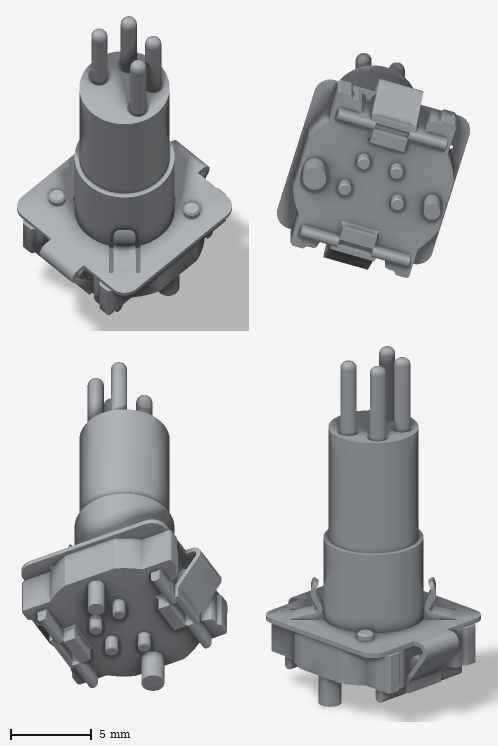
import cadquery as cq
import math


plate_side = 10.0
plate_thickness = 0.3
plate_corner_radius = 1.0
plate_hole_diameter = 6.4

lower_diameter = 6.2
upper_diameter = 5.6
step_height = 5.17
socket_height = 12.5
pin_tip_height = 17.18
pin_diameter = 1.0
pin_tip_rounding = 0.4
pin_countersink_diameter = 1.4
pin_countersink_depth = 0.2
pin_positions = [(1.7, -0.5), (1.07, 1.45), (-1.7, -0.5), (-1.07, 1.45)]
tail_diameter = 0.8
tail_bottom = -3.8
tail_chamfer = 0.07

body_bottom = -2.8
body_radius = 5.0
body_half_width = 4.7
pillar_half_width = 3.83
body_half_depth = plate_side / 2
bay_half_width = 2.05
bay_depth = 4.27
ledge_half_width = 2.23
ledge_depth = 4.92
ledge_bevel_end = 2.45
rib_height = 0.22
rib_inner = 2.82
rib_inner_crest = 3.0
rib_chamfer = 0.13

foot_half_length = 3.5
foot_back = 3.68
foot_height = 1.0
foot_rounding = 0.28
foot_chamfer_width = 0.16
foot_chamfer_height = 0.25
window_half_width = 1.1
block_back = 2.93
block_flare = 0.15
block_flare_angle = 45

ridge_half_length = 1.1
ridge_depth = 4.71
ridge_height = -1.65
ridge_radius = 0.44

left_leg_x = -3.79
left_leg_diameter = 1.03
left_leg_bottom = -4.77
right_leg_x = 3.81
right_leg_diameter = 1.43
right_leg_bottom = -4.82
peg_position = (3.3, 2.6)
peg_diameter = 1.04
peg_height = 0.46
peg_chamfer = 0.12

spring_width = 2.85
spring_reach = 6.05
spring_bend_radius = 0.6
spring_slope = math.radians(53)
spring_heel_radius = 0.4
spring_end_depth = 4.34
spring_bottom = -3.63

clip_angle = -45
clip_width = 1.38
clip_root = 5.0
clip_tip_rounding = 0.4
clip_ramp_end = (3.65, 0.17)
clip_heel_end = (3.35, 0.75)
clip_neck = (3.63, 1.3)
clip_tip = (3.52, 2.25)
clip_slot_width = 1.95
clip_slot_start = 2.9
clip_slot_end = 5.15


def cylinder(diameter, bottom, top, x=0.0, y=0.0):
    """Upright cylinder between two heights."""
    return cq.Workplane("XY", origin=(x, y, bottom)).circle(diameter / 2).extrude(top - bottom)


def box(x_range, y_range, z_range):
    """Axis-aligned box from its limits along each axis."""
    sizes = [limits[1] - limits[0] for limits in (x_range, y_range, z_range)]
    return cq.Workplane("XY", origin=(x_range[0], y_range[0], z_range[0])).box(*sizes, centered=False)


def opposite(shape):
    """Copy of a shape turned half a turn about the Z axis."""
    return shape.rotate((0, 0, 0), (0, 0, 1), 180)


def make_plate():
    plate = (
        cq.Workplane("XY", origin=(0, 0, -plate_thickness))
        .rect(plate_side, plate_side)
        .extrude(plate_thickness)
        .edges("|Z")
        .fillet(plate_corner_radius)
        .cut(cylinder(plate_hole_diameter, -plate_thickness, 0))
    )
    slots = make_clip_slots()
    return plate.cut(slots).cut(opposite(slots))


def make_clip_slots():
    """Opening around one clip: two narrow round-ended slots and the gap between them."""
    plate_range = (-plate_thickness, 0)
    half_slot = clip_slot_width / 2
    opening = box((clip_slot_start, clip_root), (-half_slot, half_slot), plate_range)
    gap = (clip_slot_width - clip_width) / 2
    gap_length = clip_slot_end - clip_slot_start
    gap_center_x = (clip_slot_end + clip_slot_start) / 2
    gap_center_y = (clip_slot_width - gap) / 2
    gaps = (
        cq.Workplane("XY", origin=(0, 0, -plate_thickness))
        .pushPoints([(gap_center_x, gap_center_y), (gap_center_x, -gap_center_y)])
        .slot2D(gap_length, gap)
        .extrude(plate_thickness)
    )
    return opening.union(gaps).rotate((0, 0, 0), (0, 0, 1), clip_angle)


def make_clip():
    """S-shaped tongue that leans on the socket and flares away at its rounded tip."""
    path = (
        cq.Workplane("XZ")
        .moveTo(clip_root + plate_thickness / 2, -plate_thickness / 2)
        .lineTo(clip_root, -plate_thickness / 2)
        .lineTo(*clip_ramp_end)
        .tangentArcPoint(clip_heel_end, relative=False)
        .lineTo(*clip_neck)
        .tangentArcPoint(clip_tip, relative=False)
    )
    start = (clip_root + plate_thickness / 2, 0, -plate_thickness / 2)
    clip = cq.Workplane("YZ", origin=start).rect(clip_width, plate_thickness).sweep(path, transition="right")
    clip = clip.faces(">Z").edges("not |Y").edges(">Y or <Y").fillet(clip_tip_rounding)
    return clip.rotate((0, 0, 0), (0, 0, 1), clip_angle)


def make_spring():
    """Strip curled down from the +Y plate edge, sloping inward and ending upright."""
    middle_radius = spring_bend_radius - plate_thickness / 2
    bend_y = spring_reach - spring_bend_radius
    bend_z = -spring_bend_radius
    end_angle = spring_slope - math.pi / 2
    bend_end_y = bend_y + middle_radius * math.cos(end_angle)
    bend_end_z = bend_z + middle_radius * math.sin(end_angle)
    slope_end_z = bend_end_z - (bend_end_y - spring_end_depth) * math.tan(spring_slope)
    heel_length = spring_heel_radius * math.tan(-end_angle / 2)
    heel_start_y = spring_end_depth + heel_length * math.cos(spring_slope)
    heel_start_z = slope_end_z + heel_length * math.sin(spring_slope)
    start_y = plate_side / 2 - plate_thickness
    path = (
        cq.Workplane("YZ")
        .moveTo(start_y, -plate_thickness / 2)
        .lineTo(bend_y, -plate_thickness / 2)
        .threePointArc((bend_y + middle_radius, bend_z), (bend_end_y, bend_end_z))
        .lineTo(heel_start_y, heel_start_z)
        .tangentArcPoint((spring_end_depth, slope_end_z - heel_length), relative=False)
        .lineTo(spring_end_depth, spring_bottom)
    )
    start = (0, start_y, -plate_thickness / 2)
    profile = cq.Workplane("XZ", origin=start).rect(spring_width, plate_thickness)
    return profile.sweep(path, transition="right")


def make_body():
    """Round core with two flats, joined to pillars that carry bevelled ribs."""
    height = -plate_thickness - body_bottom
    flats = box(
        (-body_half_width, body_half_width),
        (-body_radius, body_radius),
        (body_bottom, -plate_thickness),
    )
    core = cylinder(2 * body_radius, body_bottom, -plate_thickness).intersect(flats)
    rib_crest = body_half_depth + rib_height
    pillar_outline = [
        (0, 0),
        (pillar_half_width, 0),
        (pillar_half_width, rib_crest - rib_chamfer),
        (pillar_half_width - rib_chamfer, rib_crest),
        (rib_inner_crest, rib_crest),
        (rib_inner, body_half_depth),
        (0, body_half_depth),
    ]
    bay_outline = [
        (0, bay_depth),
        (bay_half_width, bay_depth),
        (ledge_half_width, ledge_depth),
        (ledge_bevel_end, body_half_depth),
        (0, body_half_depth),
    ]
    base = cq.Workplane("XY", origin=(0, 0, body_bottom))
    pillar = base.polyline(pillar_outline).close().extrude(height)
    bay = base.polyline(bay_outline).close().extrude(height)
    pillars = pillar.union(pillar.mirror("YZ"))
    bays = bay.union(bay.mirror("YZ"))
    body = core.union(pillars).union(pillars.mirror("XZ"))
    return body.cut(bays).cut(bays.mirror("XZ"))


def make_foot():
    """Foot bar on the +Y side, with a middle window closed by a flared block behind it."""
    z_range = (body_bottom - foot_height, body_bottom)
    window_range = (-window_half_width, window_half_width)
    foot = box((-foot_half_length, foot_half_length), (foot_back, bay_depth), z_range)
    foot = foot.faces(">Z").edges("|Y").chamfer(foot_chamfer_height, foot_chamfer_width)
    foot = foot.edges("|X and <Z").fillet(foot_rounding)
    foot = foot.cut(box(window_range, (foot_back, bay_depth), z_range))
    block = box(window_range, (block_back, foot_back), z_range)
    flare = (
        cq.Workplane("XY", origin=(0, (block_back + foot_back) / 2, body_bottom))
        .rect(2 * (window_half_width + block_flare), foot_back - block_back + 2 * block_flare)
        .extrude(-block_flare, taper=block_flare_angle)
    )
    return foot.union(block).union(flare)


def make_ridge():
    """Round-nosed ridge on the bay wall behind the spring."""
    height_range = (ridge_height - ridge_radius, ridge_height)
    root = box((-ridge_half_length, ridge_half_length), (bay_depth, ridge_depth), height_range)
    nose = (
        cq.Workplane("YZ")
        .center(ridge_depth, ridge_height)
        .circle(ridge_radius)
        .extrude(ridge_half_length, both=True)
    )
    return root.union(nose)


def make_socket():
    socket = cylinder(lower_diameter, body_bottom, step_height)
    socket = socket.union(cylinder(upper_diameter, step_height, socket_height))
    countersink = cq.Workplane("XY").add(
        cq.Solid.makeCone(
            pin_diameter / 2,
            pin_countersink_diameter / 2,
            pin_countersink_depth,
            pnt=cq.Vector(0, 0, socket_height - pin_countersink_depth),
        )
    )
    for x, y in pin_positions:
        socket = socket.cut(countersink.translate((x, y, 0)))
    return socket


def make_pin(x, y):
    """Contact pin with a rounded tip above the socket and a thinner tail below the body."""
    pin = cylinder(pin_diameter, 0, pin_tip_height, x, y).faces(">Z").edges().fillet(pin_tip_rounding)
    tail = cylinder(tail_diameter, tail_bottom, 0, x, y).faces("<Z").edges().chamfer(tail_chamfer)
    return pin.union(tail)


def make_peg():
    x, y = peg_position
    peg = cylinder(peg_diameter, -plate_thickness, peg_height, x, y)
    return peg.faces(">Z").edges().chamfer(peg_chamfer)


part = make_body().union(make_socket()).union(make_plate())
for pin_x, pin_y in pin_positions:
    part = part.union(make_pin(pin_x, pin_y))
for feature in (make_clip(), make_spring(), make_foot(), make_ridge(), make_peg()):
    part = part.union(feature).union(opposite(feature))
part = part.union(cylinder(left_leg_diameter, left_leg_bottom, body_bottom, left_leg_x))
part = part.union(cylinder(right_leg_diameter, right_leg_bottom, body_bottom, right_leg_x))

result = part